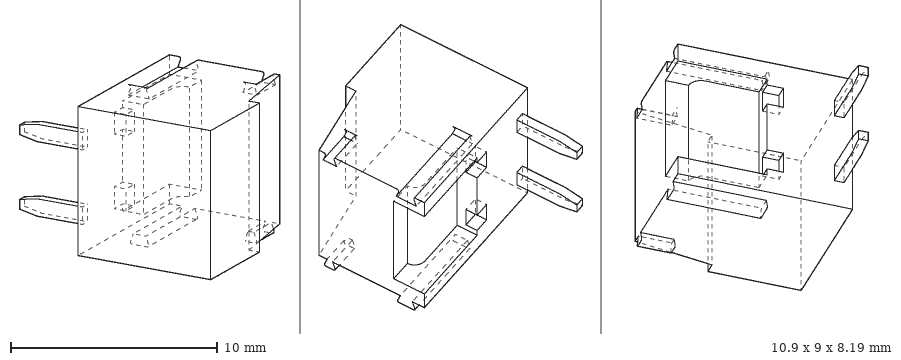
import cadquery as cq

pitch = 3.82
pin_count = 2
body_width = 7.4
body_length = 9.0
body_height = pin_count * pitch

nose_length = 4.2
nose_root_width = 6.8
nose_end_width = 6.15

recess_length = 4.6
recess_wall = 1.0
recess_depth = 1.17
lip_length = 1.2
lip_depth = 1.79
lip_radius = lip_depth - recess_depth

pocket_length = 0.83
pocket_height = 1.11
pocket_depth = 0.65

pin_length = 3.5
pin_thickness = 0.5
pin_height = 0.89
pin_center_y = 0.7
pin_tip_length = 0.98
pin_tip_height = 0.5

wide_center_x = 1.06
wide_rail_width = 1.1
wide_rail_length = 4.81
narrow_center_x = 5.52
narrow_rail_width = 0.72
narrow_rail_length = 1.72
rail_height = 0.55
rail_root_inset = 0.2
rail_edge_radius = 0.1
groove_clearance = 0.03
groove_end_gap = 0.09
groove_edge_radius = 0.12

overlap = 0.11


def box(x0, x1, y0, y1, z0, z1):
    return cq.Workplane("XY").box(x1 - x0, y1 - y0, z1 - z0, centered=False).translate((x0, y0, z0))


def make_body():
    nose_y = body_length - nose_length
    outline = [
        (0, 0),
        (body_width, 0),
        (body_width, nose_y),
        (nose_root_width, nose_y),
        (nose_end_width, body_length),
        (0, body_length),
    ]
    return cq.Workplane("XY").polyline(outline).close().extrude(body_height)


def make_recess():
    """Recess with a rounded step down to its deeper mouth."""
    inner_y = body_length - recess_length
    step_y = body_length - lip_length
    return (
        cq.Workplane("XY", origin=(0, 0, recess_wall))
        .moveTo(0, inner_y)
        .lineTo(recess_depth, inner_y)
        .lineTo(recess_depth, step_y - lip_radius)
        .radiusArc((lip_depth, step_y), lip_radius)
        .lineTo(lip_depth, body_length)
        .lineTo(0, body_length)
        .close()
        .extrude(body_height - 2 * recess_wall)
    )


def make_pocket(center_z):
    recess_y = body_length - recess_length
    half_height = pocket_height / 2
    return box(
        0, pocket_depth,
        recess_y - pocket_length, recess_y + overlap,
        center_z - half_height, center_z + half_height,
    )


def make_pin(center_z):
    half_height = pin_height / 2
    half_tip = pin_tip_height / 2
    shoulder_x = pin_tip_length - pin_length
    outline = [
        (overlap, -half_height),
        (overlap, half_height),
        (shoulder_x, half_height),
        (-pin_length, half_tip),
        (-pin_length, -half_tip),
        (shoulder_x, -half_height),
    ]
    return (
        cq.Workplane("XZ", origin=(0, pin_center_y, center_z))
        .polyline(outline)
        .close()
        .extrude(pin_thickness / 2, both=True)
    )


def make_dovetail(center_x, root_z, foot_width, length):
    """Dovetail bar hanging below root_z, running back from the mating end."""
    half_foot = foot_width / 2
    half_root = half_foot - rail_root_inset
    foot_z = root_z - rail_height
    outline = [
        (center_x - half_root, root_z),
        (center_x - half_foot, foot_z),
        (center_x + half_foot, foot_z),
        (center_x + half_root, root_z),
    ]
    return (
        cq.Workplane("XZ", origin=(0, body_length, 0))
        .polyline(outline)
        .close()
        .extrude(length)
    )


def make_rail(center_x, foot_width, length):
    rail = make_dovetail(center_x, 0, foot_width, length)
    return rail.edges("|Y and <Z").fillet(rail_edge_radius)


def cut_groove(body, center_x, rail_width, rail_length):
    """Groove that takes the rail of a neighboring block, with rounded mouth edges."""
    foot_width = rail_width + 2 * groove_clearance
    length = rail_length + groove_end_gap
    half_root = foot_width / 2 - rail_root_inset
    groove = make_dovetail(center_x, body_height, foot_width, length)
    mouth_y = body_length - length / 2
    body = body.cut(groove)
    for mouth_x in (center_x - half_root, center_x + half_root):
        mouth_edge = cq.selectors.NearestToPointSelector((mouth_x, mouth_y, body_height))
        body = body.edges(mouth_edge).fillet(groove_edge_radius)
    return body


result = make_body().cut(make_recess())

for index in range(pin_count):
    center_z = (index + 0.5) * pitch
    result = result.cut(make_pocket(center_z)).union(make_pin(center_z))

dovetails = [
    (wide_center_x, wide_rail_width, wide_rail_length),
    (narrow_center_x, narrow_rail_width, narrow_rail_length),
]
for center_x, rail_width, rail_length in dovetails:
    result = result.union(make_rail(center_x, rail_width, rail_length))
    result = cut_groove(result, center_x, rail_width, rail_length)